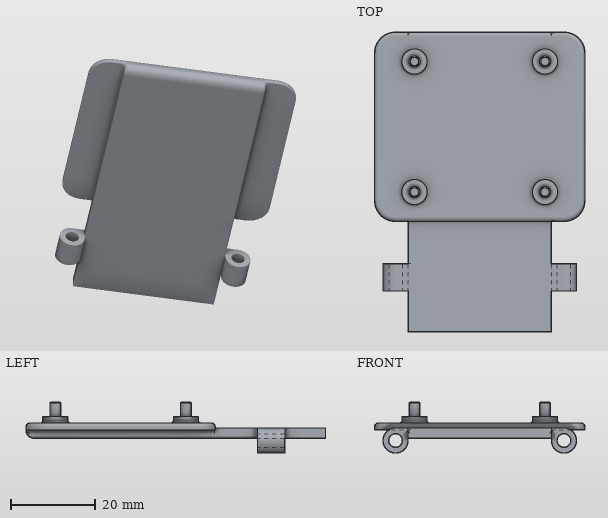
import cadquery as cq
import math

plate_width = 50.0
plate_depth = 45.0
plate_thickness = 1.7
plate_corner_radius = 5.0
plate_top_fillet = 1.0
plate_bottom_fillet = 0.2
plate_top_z = 7.2
plate_bottom_z = plate_top_z - plate_thickness
plate_back_y = plate_depth / 2

total_depth = 71.19
tongue_width = 34.0
tongue_bottom_z = 3.5
tongue_thickness = 2.5
tongue_top_z = tongue_bottom_z + tongue_thickness
tongue_front_y = plate_back_y - total_depth
tongue_back_fillet = 2.0
tongue_side_fillet = 0.6
tongue_root_fillet = 0.75

lug_diameter = 6.0
lug_hole_diameter = 3.2
lug_length = 6.5
lug_setback = 55.0
lug_back_y = plate_back_y - lug_setback
lug_front_y = lug_back_y - lug_length
lug_radius = lug_diameter / 2
lug_center_x = tongue_width / 2 + lug_radius
lug_center_z = tongue_top_z - lug_radius

pin_spacing = 31.0
pin_diameter = 2.6
pin_top_z = 12.2
pin_chamfer = 0.3
collar_diameter = 6.0
collar_height = 1.5
collar_root_fillet = 0.5
collar_top_fillet = 0.2

pick_margin = 0.01


def block(width, front_y, back_y, bottom_z, top_z):
    """Box centred on X = 0 between the given Y and Z limits."""
    return cq.Workplane("XY").box(
        width, back_y - front_y, top_z - bottom_z, centered=(True, False, False)
    ).translate((0, front_y, bottom_z))


def make_plate():
    plate = block(plate_width, -plate_back_y, plate_back_y, plate_bottom_z, plate_top_z)
    plate = plate.edges("|Z").fillet(plate_corner_radius)
    plate = plate.faces(">Z").edges().fillet(plate_top_fillet)
    return plate.faces("<Z").edges().fillet(plate_bottom_fillet)


def make_tongue():
    """Rear part has rounded lower edges; the part from the lugs forward is square."""
    rear = block(tongue_width, lug_back_y, plate_back_y, tongue_bottom_z, tongue_top_z)
    rear = rear.faces(">Y").edges("<Z").fillet(tongue_back_fillet)
    rear = rear.faces("<X or >X").edges("not(<Y or >Z)").fillet(tongue_side_fillet)
    front = block(tongue_width, tongue_front_y, lug_back_y, tongue_bottom_z, tongue_top_z)
    return rear.union(front)


def lug_cylinder(diameter, side):
    return (
        cq.Workplane("XZ", origin=(side * lug_center_x, lug_back_y, lug_center_z))
        .circle(diameter / 2)
        .extrude(lug_length)
    )


def add_lugs(body):
    """Round lugs, level with the tongue top, with the corner next to the tongue filled in."""
    web = block(2 * lug_center_x, lug_front_y, lug_back_y, lug_center_z, tongue_top_z)
    web = web.cut(block(tongue_width, lug_front_y, lug_back_y, lug_center_z, tongue_bottom_z))
    body = body.union(web)
    for side in (-1, 1):
        body = body.union(lug_cylinder(lug_diameter, side))
    for side in (-1, 1):
        body = body.cut(lug_cylinder(lug_hole_diameter, side))
    return body


def root_section():
    """Section of the concave root fillet, with its origin on the axis of the tongue's back corner."""
    corner_x = tongue_width / 2 - tongue_side_fillet
    corner_y = plate_back_y - tongue_side_fillet
    tongue_face = tongue_side_fillet
    radius = tongue_root_fillet
    foot_z = plate_bottom_z - radius
    sag = radius * (1 - math.sqrt(0.5))
    return (
        cq.Workplane("XZ", origin=(corner_x, corner_y, 0))
        .moveTo(0, foot_z)
        .lineTo(tongue_face, foot_z)
        .threePointArc((tongue_face + sag, plate_bottom_z - sag), (tongue_face + radius, plate_bottom_z))
        .lineTo(0, plate_bottom_z)
        .close()
    )


def make_tongue_root():
    """Concave fillets joining the tongue sides to the plate underside, turning the back corners."""
    root_back_y = plate_back_y - plate_bottom_fillet
    straight = root_section().extrude(plate_depth - tongue_side_fillet - plate_bottom_fillet)
    corner = root_section().revolve(90, (0, 0), (0, 1))
    corner = corner.intersect(block(plate_width, 0, root_back_y, 0, plate_top_z))
    root = straight.union(corner)
    return root.union(root.mirror("YZ"))


def add_pins(body):
    pins = cq.Workplane("XY", origin=(0, 0, plate_top_z)).rarray(pin_spacing, pin_spacing, 2, 2)
    collars = pins.circle(collar_diameter / 2).extrude(collar_height)
    body = body.union(collars.faces(">Z").edges().fillet(collar_top_fillet))
    pin_reach = (pin_spacing + collar_diameter) / 2
    collar_feet = cq.selectors.BoxSelector(
        (-pin_reach, -pin_reach, plate_top_z - pick_margin),
        (pin_reach, pin_reach, plate_top_z + pick_margin),
    )
    body = body.edges(collar_feet).edges("%CIRCLE").fillet(collar_root_fillet)
    shafts = pins.circle(pin_diameter / 2).extrude(pin_top_z - plate_top_z)
    return body.union(shafts.faces(">Z").chamfer(pin_chamfer))


cover = add_pins(make_plate())
result = add_lugs(cover.union(make_tongue()).union(make_tongue_root()))